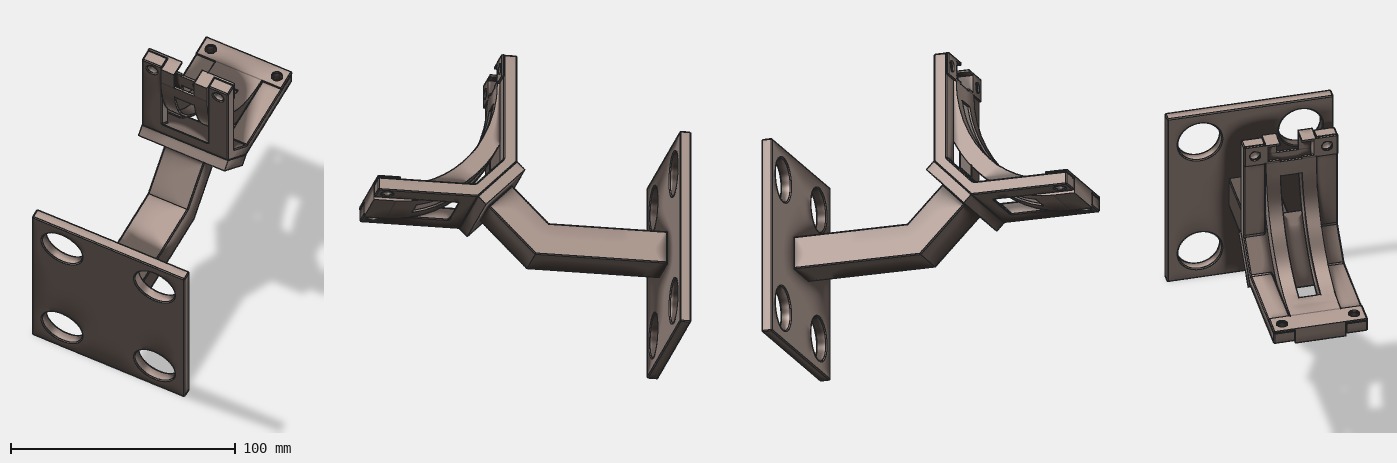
import cadquery as cq
import math

TOTAL_DEPTH = 138.5
TOTAL_HEIGHT = 126.6
EDGE_BREAK = 0.5

PLATE_WIDTH = 76.0
PLATE_HEIGHT = 90.0
PLATE_THICKNESS = 5.0
PLATE_HOLE_DIAMETER = 20.0
PLATE_HOLE_MARGIN = 15.0

ARM_WIDTH = 20.0
ARM_THICKNESS = 15.0
ARM_BEND_ANGLE = 45
ARM_HEIGHT = PLATE_HEIGHT / 2

STRAP_WIDTH = 23.0
STRAP_DEPTH = 8.0
STRAP_WALL = 1.0
CURVE_RADIUS_Y = 46.0
CURVE_RADIUS_Z = 51.0
LIP_LENGTH = 10.0
LIP_THICKNESS = 1.0
OPENING_WIDTH = 10.0
WINDOW_FROM_END = 20.5
WINDOW_FROM_TOP = 17.5

FRAME_WIDTH = 43.0
LEG_THICKNESS = 6.0
FRAME_WEB = 5.0
FLANGE_LENGTH = 25.0
FLANGE_THICKNESS = 5.0
SCREW_DIAMETER = 5.0
SCREW_SPACING = 33.0
SCREW_FROM_END = 5.0

CAVITY_WIDTH = STRAP_WIDTH - 2 * STRAP_WALL
CURVE_Y = TOTAL_DEPTH - LIP_LENGTH
CURVE_Z = TOTAL_HEIGHT - LIP_LENGTH
LEG_INNER_Y = CURVE_Y - CURVE_RADIUS_Y - LIP_THICKNESS
LEG_INNER_Z = CURVE_Z - CURVE_RADIUS_Z - LIP_THICKNESS
LEG_OUTER_Y = LEG_INNER_Y - LEG_THICKNESS
LEG_OUTER_Z = LEG_INNER_Z - LEG_THICKNESS

SLANT = math.sqrt(2)
FRAME_BACK = LEG_OUTER_Y + LEG_OUTER_Z + FLANGE_LENGTH / SLANT
WEB_FACE = FRAME_BACK + FRAME_WEB * SLANT
FLANGE_BACK = FRAME_BACK - FLANGE_THICKNESS * SLANT
AXIS_OFFSET = LEG_OUTER_Y - LEG_OUTER_Z


def extrude_across(profile, width):
    """Closed (Y, Z) outline extruded symmetrically about X = 0."""
    return profile.extrude(width).translate((-width / 2, 0, 0))


def prism(points, width):
    return extrude_across(cq.Workplane("YZ").polyline(points).close(), width)


def box_between(y_range, z_range, width):
    (y0, y1), (z0, z1) = y_range, z_range
    return prism([(y0, z0), (y1, z0), (y1, z1), (y0, z1)], width)


def make_plate():
    plate = cq.Workplane("XY").box(PLATE_WIDTH, PLATE_THICKNESS, PLATE_HEIGHT)
    hole_pitch_x = PLATE_WIDTH - 2 * PLATE_HOLE_MARGIN
    hole_pitch_z = PLATE_HEIGHT - 2 * PLATE_HOLE_MARGIN
    drilled = (
        plate.faces("<Y").workplane(centerOption="CenterOfMass")
        .rect(hole_pitch_x, hole_pitch_z, forConstruction=True)
        .vertices().hole(PLATE_HOLE_DIAMETER)
    )
    return drilled.edges().chamfer(EDGE_BREAK).translate((0, PLATE_THICKNESS / 2, PLATE_HEIGHT / 2))


def make_arm():
    half = ARM_THICKNESS / 2
    bend_y = ARM_HEIGHT + AXIS_OFFSET
    miter = half * math.tan(math.radians(ARM_BEND_ANGLE / 2))
    tip_y = (FLANGE_BACK + AXIS_OFFSET) / 2
    tip_z = (FLANGE_BACK - AXIS_OFFSET) / 2
    corner = half / SLANT
    arm = prism(
        [
            (PLATE_THICKNESS, ARM_HEIGHT - half),
            (bend_y + miter, ARM_HEIGHT - half),
            (tip_y + corner, tip_z - corner),
            (tip_y - corner, tip_z + corner),
            (bend_y - miter, ARM_HEIGHT + half),
            (PLATE_THICKNESS, ARM_HEIGHT + half),
        ],
        ARM_WIDTH,
    )
    return arm.faces("<X or >X").edges().chamfer(EDGE_BREAK)


def make_flange():
    shift = FLANGE_THICKNESS / SLANT
    low_y = FRAME_BACK - LEG_OUTER_Z
    high_z = FRAME_BACK - LEG_OUTER_Y
    return prism(
        [
            (low_y, LEG_OUTER_Z),
            (LEG_OUTER_Y, high_z),
            (LEG_OUTER_Y - shift, high_z - shift),
            (low_y - shift, LEG_OUTER_Z - shift),
        ],
        FRAME_WIDTH,
    )


def screw_pair(plane, origin):
    """Two screw holes side by side, long enough to clear the leg and the lip."""
    reach = LEG_THICKNESS + LIP_THICKNESS + STRAP_DEPTH
    centres = [(-SCREW_SPACING / 2, 0), (SCREW_SPACING / 2, 0)]
    return (
        cq.Workplane(plane, origin=origin).pushPoints(centres)
        .circle(SCREW_DIAMETER / 2).extrude(reach, both=True)
    )


def screw_holes():
    lying = screw_pair("XY", (0, TOTAL_DEPTH - SCREW_FROM_END, LEG_INNER_Z))
    standing = screw_pair("XZ", (0, LEG_INNER_Y, TOTAL_HEIGHT - SCREW_FROM_END))
    return lying.union(standing)


def make_frame():
    """V of two legs joined by a slanted web; each leg is a fork of two rails."""
    frame = prism(
        [
            (TOTAL_DEPTH, LEG_OUTER_Z),
            (TOTAL_DEPTH, LEG_INNER_Z),
            (WEB_FACE - LEG_INNER_Z, LEG_INNER_Z),
            (LEG_INNER_Y, WEB_FACE - LEG_INNER_Y),
            (LEG_INNER_Y, TOTAL_HEIGHT),
            (LEG_OUTER_Y, TOTAL_HEIGHT),
            (LEG_OUTER_Y, FRAME_BACK - LEG_OUTER_Y),
            (FRAME_BACK - LEG_OUTER_Z, LEG_OUTER_Z),
        ],
        FRAME_WIDTH,
    )
    far = 2 * TOTAL_DEPTH
    fork_gap = prism([(far, WEB_FACE - far), (far, far), (WEB_FACE - far, far)], STRAP_WIDTH)
    frame = frame.cut(fork_gap).cut(screw_holes())
    return frame.edges().chamfer(EDGE_BREAK)


def elliptic_block(offset, end_wall, width):
    """Block whose lower wall-side corner is a quarter ellipse, grown outwards by the offset."""
    radius_y = CURVE_RADIUS_Y + offset
    radius_z = CURVE_RADIUS_Z + offset
    end_y = TOTAL_DEPTH - end_wall
    end_z = TOTAL_HEIGHT - end_wall
    outline = (
        cq.Workplane("YZ").moveTo(CURVE_Y - radius_y, end_z).lineTo(CURVE_Y - radius_y, CURVE_Z)
        .ellipseArc(radius_y, radius_z, 180, 270)
        .lineTo(end_y, CURVE_Z - radius_z).lineTo(end_y, end_z).close()
    )
    return extrude_across(outline, width)


def curved_strap(inset, width):
    """Bent strap of constant depth; an inset shrinks it evenly on its curved faces and ends."""
    outer = elliptic_block(STRAP_DEPTH - inset, inset, width)
    return outer.cut(elliptic_block(inset, inset, width))


def make_lips():
    """Thin plates resting on the rails at both ends, with their long side edges broken."""
    lip_y = LEG_INNER_Y + LIP_THICKNESS
    lip_z = LEG_INNER_Z + LIP_THICKNESS
    lying = box_between((CURVE_Y, TOTAL_DEPTH), (LEG_INNER_Z, lip_z), FRAME_WIDTH)
    lying = lying.faces(">Z").edges("|Y").chamfer(EDGE_BREAK)
    standing = box_between((LEG_INNER_Y, lip_y), (CURVE_Z, TOTAL_HEIGHT), FRAME_WIDTH)
    standing = standing.faces(">Y").edges("|Z").chamfer(EDGE_BREAK)
    return lying.union(standing).cut(screw_holes())


def saddle_openings():
    """Window through the bend, slot in the standing end, and its cavity opened through the lip."""
    window_end_y = TOTAL_DEPTH - WINDOW_FROM_END
    window_end_z = TOTAL_HEIGHT - WINDOW_FROM_TOP
    window = box_between((0, window_end_y), (0, window_end_z), OPENING_WIDTH)
    slot = box_between((0, TOTAL_DEPTH), (CURVE_Z, TOTAL_HEIGHT), OPENING_WIDTH)
    lip_opening = box_between(
        (LEG_INNER_Y, LEG_INNER_Y + LIP_THICKNESS),
        (CURVE_Z + STRAP_WALL, TOTAL_HEIGHT - STRAP_WALL),
        CAVITY_WIDTH,
    )
    return window.union(slot).union(lip_opening)


def make_saddle():
    strap = curved_strap(0, STRAP_WIDTH).union(make_lips())
    cavity = curved_strap(STRAP_WALL, CAVITY_WIDTH)
    return strap.cut(cavity).cut(saddle_openings())


plate = make_plate()
arm = make_arm()
flange = make_flange()
frame = make_frame()
saddle = make_saddle()

result = cq.Compound.makeCompound([plate.val(), arm.val(), flange.val(), frame.val(), saddle.val()])